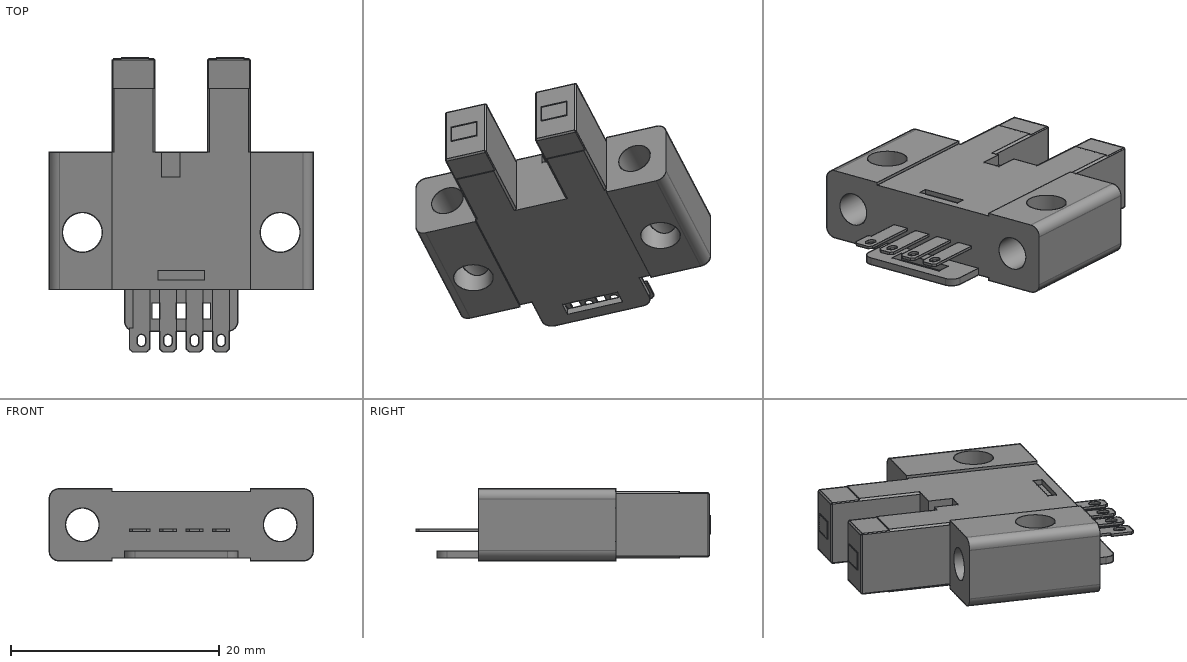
import cadquery as cq


body_width = 25.4
body_depth = 13.2
body_height = 6.95
body_edge_radius = 1.0
centre_width = 13.3
centre_height = 6.4
centre_top = centre_height / 2

mount_hole_x = 9.5
vertical_hole_y = 5.5
vertical_hole_diameter = 3.8
lengthwise_hole_diameter = 3.2

arm_gap = 5.0
arm_width = (centre_width - arm_gap) / 2
arm_centre_x = (arm_gap + arm_width) / 2
arm_end_y = 22.2
arm_edge_chamfer = 0.2
tip_start_y = 19.3
tip_edge_chamfer = 0.1
tip_height = centre_height - 2 * (arm_edge_chamfer - tip_edge_chamfer)
tip_face_chamfer = 0.16

window_width = 2.6
window_height = 1.75
window_projection = 0.1
window_offset_x = 0.13

notch_width = 1.8
notch_length = 2.4
notch_depth = 1.05
notch_centre_x = -1.0
slot_length = 4.5
slot_width = 0.9
slot_start_y = 0.95
slot_depth = 0.5

tab_width = 10.9
tab_length = 4.0
tab_thickness = 0.7
tab_corner_radius = 1.0
tab_bottom = -centre_top
opening_width = 5.6
opening_length = 1.5
opening_start = 1.3

terminal_count = 4
terminal_pitch = 2.55
terminal_width = 1.6
terminal_length = 6.0
terminal_thickness = 0.25
terminal_top = -0.4
terminal_corner_chamfer = 0.3
eyelet_width = 0.8
eyelet_length = 1.15
eyelet_distance = 4.88
wide_step_start = 3.7
wide_step_width = 0.35

embed = 0.5


def block(x_centre, x_size, y_min, y_max, z_min, z_max):
    """Box centred on x_centre, spanning the given Y and Z limits."""
    return (
        cq.Workplane("XY", origin=(x_centre, 0, z_min))
        .center(0, (y_min + y_max) / 2)
        .rect(x_size, y_max - y_min)
        .extrude(z_max - z_min)
    )


def make_body():
    """Rounded flanged block whose centre is recessed on the top and bottom."""
    half_height = body_height / 2
    body = block(0, body_width, 0, body_depth, -half_height, half_height)
    body = body.edges("|Y").fillet(body_edge_radius)
    body = body.cut(block(0, centre_width, 0, body_depth, centre_top, half_height))
    return body.cut(block(0, centre_width, 0, body_depth, -half_height, -centre_top))


def mounting_holes(x):
    """Crossing vertical and lengthwise holes of one flange."""
    vertical = (
        cq.Workplane("XY", origin=(x, vertical_hole_y, -body_height / 2))
        .circle(vertical_hole_diameter / 2)
        .extrude(body_height)
    )
    lengthwise = (
        cq.Workplane("XZ", origin=(x, body_depth, 0))
        .circle(lengthwise_hole_diameter / 2)
        .extrude(body_depth)
    )
    return vertical.union(lengthwise)


def make_arm(x):
    """Chamfered arm with a slightly thinner tip and a raised window on its end."""
    shank = block(x, arm_width, body_depth, tip_start_y, -centre_top, centre_top)
    shank = shank.edges("|Y").chamfer(arm_edge_chamfer)

    half_tip = tip_height / 2
    tip = block(x, arm_width, tip_start_y, arm_end_y, -half_tip, half_tip)
    tip = tip.edges("|Y").chamfer(tip_edge_chamfer)
    tip = tip.faces(">Y").chamfer(tip_face_chamfer)

    window = block(
        x + window_offset_x,
        window_width,
        arm_end_y - embed,
        arm_end_y + window_projection,
        -window_height / 2,
        window_height / 2,
    )
    return shank.union(tip).union(window)


def key_notch():
    """Pocket open towards the gap between the arms."""
    return block(
        notch_centre_x,
        notch_width,
        body_depth - notch_length,
        body_depth,
        centre_top - notch_depth,
        centre_top,
    )


def marker_slot():
    """Shallow slot in the top near the terminal face."""
    return block(
        0, slot_length, slot_start_y, slot_start_y + slot_width, centre_top - slot_depth, centre_top
    )


def make_tab():
    """Plate with rounded outer corners and a rectangular opening."""
    tab_top = tab_bottom + tab_thickness
    tab = block(0, tab_width, -tab_length, embed, tab_bottom, tab_top)
    tab = tab.edges("|Z and <Y").fillet(tab_corner_radius)
    opening_end = opening_start + opening_length
    return tab.cut(block(0, opening_width, -opening_end, -opening_start, tab_bottom, tab_top))


def make_terminal(x, extra_width):
    """Flat terminal with an eyelet; extra_width widens its end towards -X."""
    bottom = terminal_top - terminal_thickness
    terminal = block(x, terminal_width, -terminal_length, embed, bottom, terminal_top)
    if extra_width > 0:
        terminal = terminal.union(
            block(
                x - extra_width / 2,
                terminal_width + extra_width,
                -terminal_length,
                -wide_step_start,
                bottom,
                terminal_top,
            ),
        )
    terminal = terminal.faces("<Y").edges("|Z").chamfer(terminal_corner_chamfer)
    eyelet = (
        cq.Workplane("XY", origin=(x, -eyelet_distance, bottom))
        .slot2D(eyelet_length, eyelet_width, 90)
        .extrude(terminal_thickness)
    )
    return terminal.cut(eyelet)


result = make_body()

for side in (-1, 1):
    result = result.cut(mounting_holes(side * mount_hole_x))
    result = result.union(make_arm(side * arm_centre_x))

result = result.cut(key_notch()).cut(marker_slot())
result = result.union(make_tab())

for index in range(terminal_count):
    terminal_x = (index - (terminal_count - 1) / 2) * terminal_pitch
    end_widening = wide_step_width if index == 0 else 0
    result = result.union(make_terminal(terminal_x, end_widening))